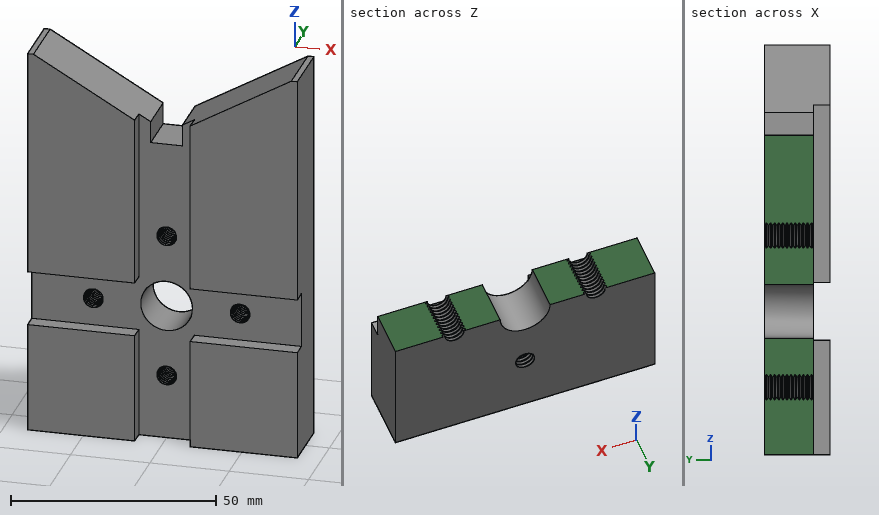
import cadquery as cq
import math

width = 68.0
thickness = 16.0
height = 100.0
front_y = -thickness / 2
back_y = thickness / 2

seat_slope = math.radians(30)
tip_flat = 1.5
notch_width = 8.0
notch_floor_z = 78.0

channel_width = 14.0
channel_depth = 4.0
channel_floor_y = front_y + channel_depth
cross_z = 35.0

bore_diameter = 13.0
hole_circle_diameter = 37.0
thread_major = 6.0
thread_minor = 4.9
thread_pitch = 1.0
groove_mouth = thread_pitch * 3 / 4
groove_root = thread_pitch / 8


def make_plate():
    """Plate outline in XZ, extruded through the thickness."""
    half_width = width / 2
    half_notch = notch_width / 2
    tip_x = half_width - tip_flat
    seat_bottom_z = height - (tip_x - half_notch) * math.tan(seat_slope)
    outline = [
        (-half_width, 0),
        (half_width, 0),
        (half_width, height),
        (tip_x, height),
        (half_notch, seat_bottom_z),
        (half_notch, notch_floor_z),
        (-half_notch, notch_floor_z),
        (-half_notch, seat_bottom_z),
        (-tip_x, height),
        (-half_width, height),
    ]
    plate = cq.Workplane("XZ", origin=(0, back_y, 0))
    return plate.polyline(outline).close().extrude(thickness)


def make_channels():
    """Vertical and horizontal channels crossing at the bore."""
    channel_y = front_y + channel_depth / 2
    vertical = cq.Workplane("XY").box(channel_width, channel_depth, height)
    horizontal = cq.Workplane("XY").box(width, channel_depth, channel_width)
    vertical = vertical.translate((0, channel_y, height / 2))
    horizontal = horizontal.translate((0, channel_y, cross_z))
    return vertical.union(horizontal)


def make_bore():
    bore = cq.Workplane("XZ", origin=(0, back_y, cross_z))
    return bore.circle(bore_diameter / 2).extrude(thickness)


def make_threaded_hole(x, z):
    """Hole along Y whose thread is modelled as one flat-bottomed ring groove per pitch."""
    minor_radius = thread_minor / 2
    major_radius = thread_major / 2
    groove_count = round((back_y - channel_floor_y) / thread_pitch)
    profile = cq.Workplane("XY").moveTo(0, channel_floor_y).lineTo(minor_radius, channel_floor_y)
    for groove in range(groove_count):
        middle_y = channel_floor_y + (groove + 0.5) * thread_pitch
        profile = profile.lineTo(minor_radius, middle_y - groove_mouth / 2)
        profile = profile.lineTo(major_radius, middle_y - groove_root / 2)
        profile = profile.lineTo(major_radius, middle_y + groove_root / 2)
        profile = profile.lineTo(minor_radius, middle_y + groove_mouth / 2)
    profile = profile.lineTo(minor_radius, back_y).lineTo(0, back_y).close()
    hole = profile.revolve(360, (0, 0, 0), (0, 1, 0))
    return hole.translate((x, 0, z))


result = make_plate().cut(make_channels()).cut(make_bore())
for quarter in range(4):
    angle = quarter * math.pi / 2
    hole_x = hole_circle_diameter / 2 * math.cos(angle)
    hole_z = cross_z + hole_circle_diameter / 2 * math.sin(angle)
    result = result.cut(make_threaded_hole(hole_x, hole_z))